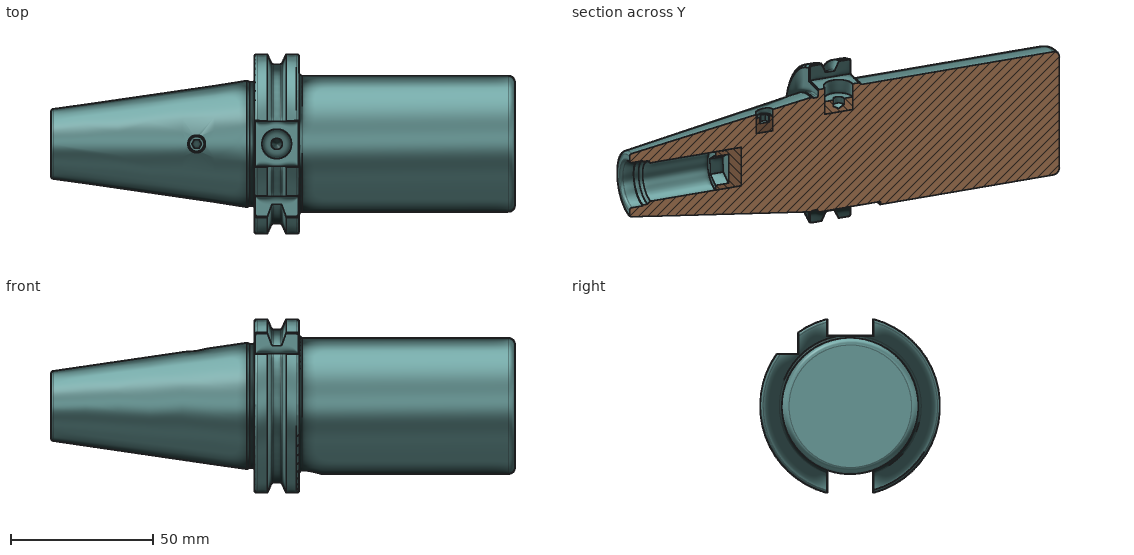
import cadquery as cq
import math

LENGTH = 163.4

GAUGE_RADIUS = 22.2
GAUGE_X = 68.5
TAPER_SLOPE = 7 / 48
TAPER_END_X = 69.0
NECK_RADIUS = 21.9
NECK_CHAMFER_LENGTH = 1.0
NECK_ROOT_FILLET = 0.5
SMALL_END_FILLET = 1.0

FLANGE_START_X = 71.5
FLANGE_WIDTH = 15.8
FLANGE_END_X = FLANGE_START_X + FLANGE_WIDTH
FLANGE_RADIUS = 31.7
FLANGE_FILLET = 1.0
GROOVE_CENTER_X = FLANGE_START_X + FLANGE_WIDTH / 2
GROOVE_WIDTH = 6.7
GROOVE_FLOOR_RADIUS = 28.1
GROOVE_HALF_ANGLE = 25
GROOVE_FILLET = 0.8

SLOT_WIDTH = 15.8
TOP_SLOT_FLOOR = 24.8
BOTTOM_SLOT_FLOOR = 22.9
NOTCH_OFFSET = 18.5
SLOT_CHAMFER = 0.3

NOSE_RADIUS = 24.0
NOSE_ROOT_FILLET = 1.0
NOSE_END_FILLET = 2.5

PILOT_RADIUS = 8.7
PILOT_FILLET = 1.0
PILOT_DEPTH = 5.0
RELIEF_RADIUS = 8.3
RELIEF_END_X = 6.9
CONE_LENGTH = 1.1
BORE_RADIUS = 7.4
BORE_FLOOR_X = 42.5

BORE_SCREW_X = 32.7
BORE_SCREW_HEX = 10.0
BORE_SCREW_HEX_DEPTH = 4.9
BORE_SCREW_HEX_TURN = 5

GRUB_X = 51.3
GRUB_RADIUS = 3.1
GRUB_TOP_Z = 18.0
GRUB_LENGTH = 6.0
GRUB_CHAMFER = 0.5
GRUB_HEX = 3.0
GRUB_HEX_DEPTH = 2.5

POCKET_RADIUS = 5.2
POCKET_DEPTH = 5.0
PLUG_TOP_Z = TOP_SLOT_FLOOR - POCKET_DEPTH
PLUG_LENGTH = 4.9
DRILL_RADIUS = 2.0
DRILL_DEPTH = 2.5
DRILL_POINT_ANGLE = 118


def taper_radius(x):
    return GAUGE_RADIUS + (x - GAUGE_X) * TAPER_SLOPE


def rod(x_start, x_end, radius):
    return cq.Workplane("YZ", origin=(x_start, 0, 0)).circle(radius).extrude(x_end - x_start)


def post(x, z_bottom, z_top, radius):
    return cq.Workplane("XY", origin=(x, 0, z_bottom)).circle(radius).extrude(z_top - z_bottom)


def hexagon_diameter(across_flats):
    return across_flats / math.cos(math.radians(30))


def taper_and_neck():
    neck_start = TAPER_END_X + NECK_CHAMFER_LENGTH
    body = (
        cq.Workplane("XZ")
        .moveTo(0, 0)
        .lineTo(0, taper_radius(0))
        .lineTo(TAPER_END_X, taper_radius(TAPER_END_X))
        .lineTo(neck_start, NECK_RADIUS)
        .lineTo(FLANGE_START_X, NECK_RADIUS)
        .lineTo(FLANGE_START_X, 0)
        .close()
        .revolve(360, (0, 0, 0), (1, 0, 0))
    )
    return body.faces("<X").edges().fillet(SMALL_END_FILLET)


def groove_ring():
    depth = FLANGE_RADIUS - GROOVE_FLOOR_RADIUS
    half_top = GROOVE_WIDTH / 2
    half_floor = half_top - depth * math.tan(math.radians(GROOVE_HALF_ANGLE))
    ring = (
        cq.Workplane("XZ", origin=(GROOVE_CENTER_X, 0, 0))
        .moveTo(-half_top, FLANGE_RADIUS)
        .lineTo(-half_floor, GROOVE_FLOOR_RADIUS)
        .lineTo(half_floor, GROOVE_FLOOR_RADIUS)
        .lineTo(half_top, FLANGE_RADIUS)
        .close()
        .revolve(360, (0, 0, 0), (1, 0, 0))
    )
    floor_edges = cq.selectors.RadiusNthSelector(0)
    return ring.edges(floor_edges).fillet(GROOVE_FILLET)


def drive_slot(floor, side):
    """Slot across the flange with a round end behind it; side is +1 for the top, -1 for the bottom."""
    outline = (
        cq.Workplane("XY", origin=(0, 0, side * floor))
        .moveTo(FLANGE_START_X, -SLOT_WIDTH / 2)
        .lineTo(FLANGE_END_X, -SLOT_WIDTH / 2)
        .threePointArc((FLANGE_END_X + SLOT_WIDTH / 2, 0), (FLANGE_END_X, SLOT_WIDTH / 2))
        .lineTo(FLANGE_START_X, SLOT_WIDTH / 2)
        .close()
    )
    return outline.extrude(side * FLANGE_RADIUS)


def orientation_notch():
    """Square corner cut along the flange, open toward -Y and +Z."""
    corner = cq.Workplane("YZ", origin=(FLANGE_START_X, -NOTCH_OFFSET, NOTCH_OFFSET))
    return corner.rect(-FLANGE_RADIUS, FLANGE_RADIUS, centered=False).extrude(FLANGE_WIDTH)


def slots():
    return [drive_slot(TOP_SLOT_FLOOR, 1), drive_slot(BOTTOM_SLOT_FLOOR, -1), orientation_notch()]


def flange():
    """Flange disc with its groove and slots, the slots chamfered where they meet the two flat faces."""
    disc = rod(FLANGE_START_X, FLANGE_END_X, FLANGE_RADIUS).edges("%CIRCLE").fillet(FLANGE_FILLET)
    for cut in slots():
        disc = disc.cut(cut)
    slot_edges = disc.faces("<X or >X").edges("%LINE")
    return slot_edges.chamfer(SLOT_CHAMFER).cut(groove_ring())


def nose():
    cylinder = rod(FLANGE_END_X, LENGTH, NOSE_RADIUS)
    return cylinder.faces(">X").edges().fillet(NOSE_END_FILLET)


def root_blend(x, radius, fillet, direction):
    """Ring that blends a shaft of the given radius into the flange face at x; direction points off the face."""
    sag = fillet * (1 - math.sqrt(0.5))
    return (
        cq.Workplane("XZ")
        .moveTo(x, radius - fillet)
        .lineTo(x, radius + fillet)
        .threePointArc((x + direction * sag, radius + sag), (x + direction * fillet, radius))
        .lineTo(x + direction * fillet, radius - fillet)
        .close()
        .revolve(360, (0, 0, 0), (1, 0, 0))
    )


def bore():
    sag = PILOT_FILLET * (1 - math.sqrt(0.5))
    return (
        cq.Workplane("XZ")
        .moveTo(0, 0)
        .lineTo(0, PILOT_RADIUS + PILOT_FILLET)
        .threePointArc((sag, PILOT_RADIUS + sag), (PILOT_FILLET, PILOT_RADIUS))
        .lineTo(PILOT_DEPTH, PILOT_RADIUS)
        .lineTo(PILOT_DEPTH, RELIEF_RADIUS)
        .lineTo(RELIEF_END_X, RELIEF_RADIUS)
        .lineTo(RELIEF_END_X + CONE_LENGTH, BORE_RADIUS)
        .lineTo(BORE_FLOOR_X, BORE_RADIUS)
        .lineTo(BORE_FLOOR_X, 0)
        .close()
        .revolve(360, (0, 0, 0), (1, 0, 0))
    )


def grub_hole():
    return post(GRUB_X, GRUB_TOP_Z - GRUB_LENGTH, FLANGE_RADIUS, GRUB_RADIUS)


def plug_pocket():
    return post(GROOVE_CENTER_X, PLUG_TOP_Z - PLUG_LENGTH, FLANGE_RADIUS, POCKET_RADIUS)


def make_holder():
    body = taper_and_neck().union(flange()).union(nose())
    body = body.union(root_blend(FLANGE_START_X, NECK_RADIUS, NECK_ROOT_FILLET, -1))
    body = body.union(root_blend(FLANGE_END_X, NOSE_RADIUS, NOSE_ROOT_FILLET, 1))
    for cut in [*slots(), bore(), grub_hole(), plug_pocket()]:
        body = body.cut(cut)
    return body


def make_bore_screw():
    socket = (
        cq.Workplane("YZ", origin=(BORE_SCREW_X, 0, 0))
        .polygon(6, hexagon_diameter(BORE_SCREW_HEX))
        .extrude(BORE_SCREW_HEX_DEPTH)
        .rotate((0, 0, 0), (1, 0, 0), 30 - BORE_SCREW_HEX_TURN)
    )
    return rod(BORE_SCREW_X, BORE_FLOOR_X, BORE_RADIUS).cut(socket)


def make_grub_screw():
    screw = post(GRUB_X, GRUB_TOP_Z - GRUB_LENGTH, GRUB_TOP_Z, GRUB_RADIUS)
    socket = (
        cq.Workplane("XY", origin=(GRUB_X, 0, GRUB_TOP_Z))
        .polygon(6, hexagon_diameter(GRUB_HEX))
        .extrude(-GRUB_HEX_DEPTH)
    )
    return screw.faces(">Z").chamfer(GRUB_CHAMFER).cut(socket)


def drilled_hole():
    """Blind hole from the top of the plug, ending in a cone."""
    point_length = DRILL_RADIUS / math.tan(math.radians(DRILL_POINT_ANGLE / 2))
    return (
        cq.Workplane("XZ", origin=(GROOVE_CENTER_X, 0, PLUG_TOP_Z))
        .lineTo(DRILL_RADIUS, 0)
        .lineTo(DRILL_RADIUS, -DRILL_DEPTH)
        .lineTo(0, -DRILL_DEPTH - point_length)
        .close()
        .revolve(360, (0, 0, 0), (0, 1, 0))
    )


def make_plug():
    plug = post(GROOVE_CENTER_X, PLUG_TOP_Z - PLUG_LENGTH, PLUG_TOP_Z, POCKET_RADIUS)
    return plug.cut(drilled_hole())


holder = make_holder()
bore_screw = make_bore_screw()
grub_screw = make_grub_screw()
plug = make_plug()

result = cq.Compound.makeCompound([holder.val(), bore_screw.val(), grub_screw.val(), plug.val()])